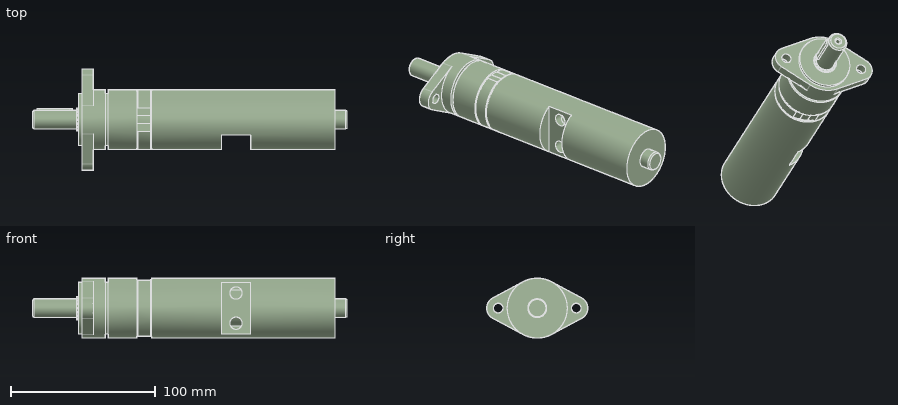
import cadquery as cq
import math

TOTAL_LENGTH = 217.5
COLLAR_START = 30.7
PILOT_START = 31.8
FLANGE_START = 34.1
GROOVE_START = 50.5
GROOVE_END = 52.5
NECK_START = 72.2
NECK_END = 82.5
BODY_END = 209.2

BODY_RADIUS = 41.5 / 2
PILOT_RADIUS = 36.0 / 2
NECK_GROOVE_RADIUS = 39.5 / 2
NECK_GROOVE_WIDTH = 0.7
COLLAR_RADIUS = 16.0 / 2
COLLAR_SLOT_DEPTH = 0.7
COLLAR_SLOT_RADIUS = 15.0 / 2
COLLAR_SLOT_WIDTH = 1.0
COLLAR_SLOT_COUNT = 16
SHAFT_RADIUS = 13.0 / 2
SHAFT_CHAMFER = 1.0
TAIL_CHAMFER_LENGTH = 1.3
TAIL_TIP_RADIUS = 12.0 / 2

CENTRE_HOLE_MOUTH_RADIUS = 2.5
CENTRE_HOLE_RADIUS = 3.3 / 2
CENTRE_HOLE_DEPTH = 6.5

FLANGE_THICKNESS = 8.0
FLANGE_WIDTH = 70.0
FLANGE_TIP_RADIUS = 8.0
FLANGE_HOLE_DIAMETER = 6.5

KEY_START = 3.0
KEY_END = 27.6
KEY_WIDTH = 4.0
KEY_TOP = 7.6

NECK_FLAT_HEIGHT = 19.1
NECK_RIB_RADIUS = 39.0 / 2
NECK_RIB_WIDTH = 5.7

PORT_POCKET_START = 130.7
PORT_POCKET_END = 150.7
PORT_FLOOR_OFFSET = 10.7
PORT_DIAMETER = 8.5
PORT_SPACING = 20.9
PORT_DEPTH = 15.2
CORE_RADIUS = 25.0 / 2
CORE_OFFSET = 4.5


def turned_body():
    """Shaft, pilot, housing and tail stub as one revolved profile."""
    profile = [
        (0, 0),
        (0, SHAFT_RADIUS - SHAFT_CHAMFER),
        (SHAFT_CHAMFER, SHAFT_RADIUS),
        (COLLAR_START, SHAFT_RADIUS),
        (COLLAR_START, COLLAR_RADIUS),
        (PILOT_START, COLLAR_RADIUS),
        (PILOT_START, PILOT_RADIUS),
        (FLANGE_START, PILOT_RADIUS),
        (FLANGE_START, BODY_RADIUS),
        (GROOVE_START, BODY_RADIUS),
        (GROOVE_START, PILOT_RADIUS),
        (GROOVE_END, PILOT_RADIUS),
        (GROOVE_END, BODY_RADIUS),
        (NECK_START, BODY_RADIUS),
        (NECK_START, NECK_GROOVE_RADIUS),
        (NECK_START + NECK_GROOVE_WIDTH, NECK_GROOVE_RADIUS),
        (NECK_START + NECK_GROOVE_WIDTH, BODY_RADIUS),
        (NECK_END - NECK_GROOVE_WIDTH, BODY_RADIUS),
        (NECK_END - NECK_GROOVE_WIDTH, NECK_GROOVE_RADIUS),
        (NECK_END, NECK_GROOVE_RADIUS),
        (NECK_END, BODY_RADIUS),
        (BODY_END, BODY_RADIUS),
        (BODY_END, SHAFT_RADIUS),
        (TOTAL_LENGTH - TAIL_CHAMFER_LENGTH, SHAFT_RADIUS),
        (TOTAL_LENGTH, TAIL_TIP_RADIUS),
        (TOTAL_LENGTH, 0),
    ]
    return cq.Workplane("XY").polyline(profile).close().revolve(360, (0, 0, 0), (1, 0, 0))


def flange():
    """Diamond flange: straight sides tangent to the housing and to a round tip at each end.

    The housing itself forms the round middle of the flange outline.
    """
    hole_offset = FLANGE_WIDTH / 2 - FLANGE_TIP_RADIUS
    slope_sine = (BODY_RADIUS - FLANGE_TIP_RADIUS) / hole_offset
    slope_cosine = math.sqrt(1 - slope_sine**2)
    body_y = BODY_RADIUS * slope_sine
    body_z = BODY_RADIUS * slope_cosine
    tip_y = hole_offset + FLANGE_TIP_RADIUS * slope_sine
    tip_z = FLANGE_TIP_RADIUS * slope_cosine
    plate = (
        cq.Workplane("YZ", origin=(FLANGE_START, 0, 0))
        .moveTo(-body_y, body_z)
        .lineTo(body_y, body_z)
        .lineTo(tip_y, tip_z)
        .threePointArc((FLANGE_WIDTH / 2, 0), (tip_y, -tip_z))
        .lineTo(body_y, -body_z)
        .lineTo(-body_y, -body_z)
        .lineTo(-tip_y, -tip_z)
        .threePointArc((-FLANGE_WIDTH / 2, 0), (-tip_y, tip_z))
        .close()
        .extrude(FLANGE_THICKNESS)
    )
    holes = (
        cq.Workplane("YZ", origin=(FLANGE_START, 0, 0))
        .pushPoints([(-hole_offset, 0), (hole_offset, 0)])
        .circle(FLANGE_HOLE_DIAMETER / 2)
        .extrude(FLANGE_THICKNESS)
    )
    return plate.cut(holes)


def shaft_key():
    """Round-ended key standing proud of the shaft on its +Y side."""
    return (
        cq.Workplane("XZ")
        .center((KEY_START + KEY_END) / 2, 0)
        .slot2D(KEY_END - KEY_START, KEY_WIDTH)
        .extrude(-KEY_TOP)
    )


def centre_hole():
    """Centre-drilled hole with a conical mouth in the shaft end."""
    mouth_depth = CENTRE_HOLE_MOUTH_RADIUS - CENTRE_HOLE_RADIUS
    profile = [
        (0, 0),
        (0, CENTRE_HOLE_MOUTH_RADIUS),
        (mouth_depth, CENTRE_HOLE_RADIUS),
        (CENTRE_HOLE_DEPTH, CENTRE_HOLE_RADIUS),
        (CENTRE_HOLE_DEPTH + CENTRE_HOLE_RADIUS, 0),
    ]
    return cq.Workplane("XY").polyline(profile).close().revolve(360, (0, 0, 0), (1, 0, 0))


def neck_flats():
    """Cutter for a flat above and below the neck, each split by a low rib with a round crest."""
    length = NECK_END - NECK_GROOVE_WIDTH - NECK_START
    start_plane = cq.Workplane("YZ", origin=(NECK_START, 0, 0))
    stock = start_plane.rect(2 * BODY_RADIUS, 2 * BODY_RADIUS).extrude(length)
    between_flats = start_plane.rect(2 * BODY_RADIUS, 2 * NECK_FLAT_HEIGHT).extrude(length)
    rib_strip = start_plane.rect(NECK_RIB_WIDTH, 2 * BODY_RADIUS).extrude(length)
    ribs = start_plane.circle(NECK_RIB_RADIUS).extrude(length).intersect(rib_strip)
    return stock.cut(between_flats).cut(ribs)


def neck_web():
    """Block that fills the first neck groove beneath the two flats."""
    flat_half_width = math.sqrt(BODY_RADIUS**2 - NECK_FLAT_HEIGHT**2)
    return (
        cq.Workplane("YZ", origin=(NECK_START, 0, 0))
        .rect(2 * flat_half_width, 2 * NECK_FLAT_HEIGHT)
        .extrude(NECK_GROOVE_WIDTH)
    )


def collar_slots():
    """Cutter for the ring of short radial slots in the collar face."""
    return (
        cq.Workplane("YZ", origin=(COLLAR_START, 0, 0))
        .polarArray((SHAFT_RADIUS + COLLAR_SLOT_RADIUS) / 2, 0, 360, COLLAR_SLOT_COUNT)
        .rect(COLLAR_SLOT_RADIUS - SHAFT_RADIUS, COLLAR_SLOT_WIDTH)
        .extrude(COLLAR_SLOT_DEPTH)
    )


def port_pocket():
    """Cutter for the flat-bottomed pocket on the -Y side and its two ports.

    The ports run in beside a round solid core parallel to the motor axis, which stays whole.
    """
    middle = (PORT_POCKET_START + PORT_POCKET_END) / 2
    floor = cq.Workplane("XZ", origin=(middle, -PORT_FLOOR_OFFSET, 0))
    pocket = floor.rect(PORT_POCKET_END - PORT_POCKET_START, 2 * BODY_RADIUS).extrude(BODY_RADIUS)
    ports = floor.rarray(2.2, PORT_SPACING, 1, 2).circle(PORT_DIAMETER / 2).extrude(-PORT_DEPTH)
    core = (
        cq.Workplane("YZ", origin=(PORT_POCKET_START, CORE_OFFSET, 0))
        .circle(CORE_RADIUS)
        .extrude(PORT_POCKET_END - PORT_POCKET_START)
    )
    return pocket.union(ports.cut(core))


result = turned_body().union(flange()).union(shaft_key())
result = result.union(neck_web()).cut(neck_flats())
result = result.cut(centre_hole()).cut(collar_slots()).cut(port_pocket())